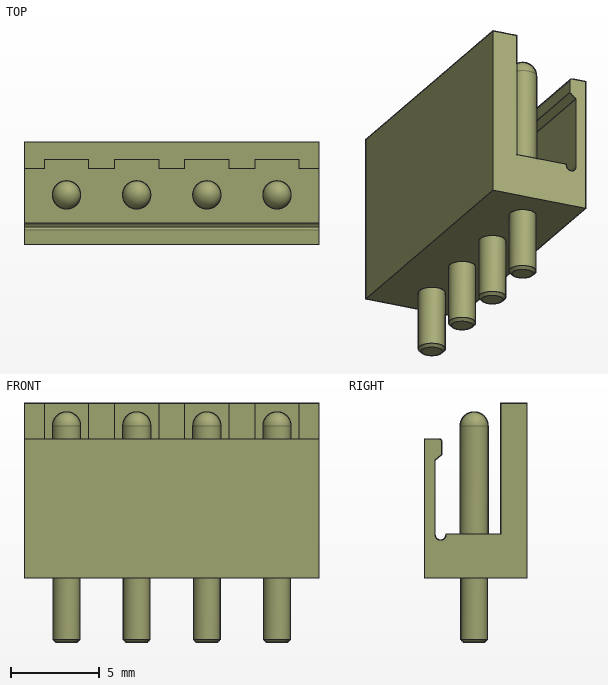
import cadquery as cq

LENGTH = 16.64
DEPTH = 5.8
BACK_HEIGHT = 9.87
FRONT_HEIGHT = 7.85
FLOOR_HEIGHT = 2.5
BACK_THICKNESS = 1.5
FRONT_THICKNESS = 0.62

LIP_THICKNESS = 1.0
LIP_ROUND = 0.17
LIP_BOTTOM = 6.97
LIP_SLOPE_HEIGHT = 0.32

GROOVE_RADIUS = 0.3
GROOVE_DEPTH = 0.35

PIN_COUNT = 4
PITCH = 3.96
PIN_Y = 2.81
PIN_RADIUS = 0.8
DOME_BASE = 8.59
TAIL_RADIUS = 0.77
TAIL_LENGTH = 3.63
TAIL_CHAMFER = 0.17
SLOT_WIDTH = 2.5
SLOT_DEPTH = 0.5

FIRST_PIN_X = (LENGTH - (PIN_COUNT - 1) * PITCH) / 2


def make_housing():
    """Extrude the side profile, with its lip and groove, along X."""
    back_face_y = DEPTH - BACK_THICKNESS
    groove_y = FRONT_THICKNESS + GROOVE_RADIUS
    groove_z = FLOOR_HEIGHT - GROOVE_DEPTH + GROOVE_RADIUS
    groove_far_y = groove_y + GROOVE_RADIUS
    lip_round_offset = LIP_ROUND * (1 - 0.5**0.5)
    return (
        cq.Workplane("YZ")
        .moveTo(0, 0)
        .lineTo(DEPTH, 0)
        .lineTo(DEPTH, BACK_HEIGHT)
        .lineTo(back_face_y, BACK_HEIGHT)
        .lineTo(back_face_y, FLOOR_HEIGHT)
        .lineTo(groove_far_y, FLOOR_HEIGHT)
        .lineTo(groove_far_y, groove_z)
        .threePointArc((groove_y, FLOOR_HEIGHT - GROOVE_DEPTH), (FRONT_THICKNESS, groove_z))
        .lineTo(FRONT_THICKNESS, LIP_BOTTOM - LIP_SLOPE_HEIGHT)
        .lineTo(LIP_THICKNESS, LIP_BOTTOM)
        .lineTo(LIP_THICKNESS, FRONT_HEIGHT - LIP_ROUND)
        .threePointArc(
            (LIP_THICKNESS - lip_round_offset, FRONT_HEIGHT - lip_round_offset),
            (LIP_THICKNESS - LIP_ROUND, FRONT_HEIGHT),
        )
        .lineTo(0, FRONT_HEIGHT)
        .close()
        .extrude(LENGTH)
    )


def make_key_slot(x):
    """Slot cutter in the inner face of the back wall, from floor to top."""
    return cq.Workplane("XY").box(
        SLOT_WIDTH, SLOT_DEPTH, BACK_HEIGHT - FLOOR_HEIGHT, centered=(True, False, False)
    ).translate((x, DEPTH - BACK_THICKNESS, FLOOR_HEIGHT))


def make_pin(x):
    """Domed contact pin with a slimmer, chamfered tail below the housing."""
    upper = cq.Workplane("XY").circle(PIN_RADIUS).extrude(DOME_BASE)
    dome = cq.Workplane("XY").sphere(PIN_RADIUS).translate((0, 0, DOME_BASE))
    tail = (
        cq.Workplane("XY")
        .circle(TAIL_RADIUS)
        .extrude(-TAIL_LENGTH)
        .faces("<Z")
        .chamfer(TAIL_CHAMFER)
    )
    return upper.union(dome).union(tail).translate((x, PIN_Y, 0))


result = make_housing()
for index in range(PIN_COUNT):
    pin_x = FIRST_PIN_X + index * PITCH
    result = result.cut(make_key_slot(pin_x)).union(make_pin(pin_x))